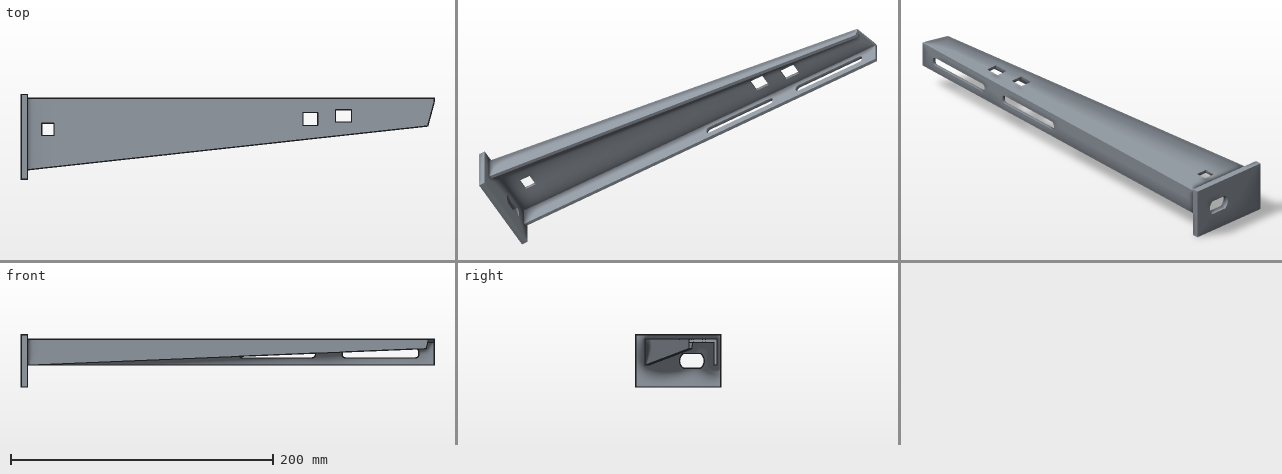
import cadquery as cq

total_length = 315.0
plate_width = 65.0
plate_height = 40.0
plate_thickness = 5.0

plate_hole_y = 10.5
plate_hole_length = 18.5
plate_hole_flat = 13.2
plate_hole_height = 11.0

sheet = 2.5
arm_height = 20.0
arm_top_inset = 3.5
arm_back_inset = 2.8
arm_top = plate_height / 2 - arm_top_inset
arm_bottom = arm_top - arm_height
arm_back = plate_width / 2 - arm_back_inset
arm_root_width = 54.8
arm_tip_width = 21.5
tip_setback = 5.0
tip_front_x = total_length - tip_setback

front_tip_height = 7.2
front_tip_lean = 1.3

slot_length = 58.3
slot_height = 7.0
slot_corner_radius = 2.5
slot_edge_margin = 5.7
slot_bottom = arm_bottom + slot_edge_margin
slot_starts = (166.0, 244.8)

web_holes = (
    (20.5, 24.0, 9.0, 9.0),
    (220.5, 16.0, 11.0, 9.8),
    (245.7, 13.5, 12.0, 9.0),
)


def make_plate():
    plate = cq.Workplane("XY").box(
        plate_thickness, plate_width, plate_height, centered=(False, True, True)
    )
    half_flat = plate_hole_flat / 2
    half_length = plate_hole_length / 2
    half_height = plate_hole_height / 2
    hole = (
        cq.Workplane("YZ")
        .center(plate_hole_y, 0)
        .moveTo(-half_flat, half_height)
        .lineTo(half_flat, half_height)
        .threePointArc((half_length, 0), (half_flat, -half_height))
        .lineTo(-half_flat, -half_height)
        .threePointArc((-half_length, 0), (-half_flat, half_height))
        .close()
        .extrude(plate_thickness)
    )
    return plate.cut(hole)


def plan_prism(points, height):
    """Prism hanging down from the arm's top face."""
    return cq.Workplane("XY", origin=(0, 0, arm_top)).polyline(points).close().extrude(-height)


def make_channel_blank():
    """Web and two full-height flanges, tapered in plan."""
    root_front = arm_back - arm_root_width
    tip_front = arm_back - arm_tip_width
    outer = plan_prism(
        [
            (plate_thickness, arm_back),
            (plate_thickness, root_front),
            (tip_front_x, tip_front),
            (total_length, arm_back - sheet),
            (total_length, arm_back),
        ],
        arm_height,
    )
    taper = (arm_root_width - arm_tip_width) / (tip_front_x - plate_thickness)
    inner_end = total_length + tip_setback
    front_inner = root_front + sheet * (1 + taper**2) ** 0.5
    inner = plan_prism(
        [
            (plate_thickness, arm_back - sheet),
            (plate_thickness, front_inner),
            (inner_end, front_inner + taper * (inner_end - plate_thickness)),
            (inner_end, arm_back - sheet),
        ],
        arm_height,
    ).translate((0, 0, -sheet))
    return outer.cut(inner)


def front_flange_trim():
    """Material below the rising edge and beyond the leaning end of the front flange."""
    trim_depth = arm_back - sheet + plate_width / 2
    return (
        cq.Workplane("XZ", origin=(0, arm_back - sheet, 0))
        .moveTo(plate_thickness, arm_bottom)
        .lineTo(tip_front_x - front_tip_lean, arm_top - front_tip_height)
        .lineTo(tip_front_x, arm_top - sheet)
        .lineTo(total_length, arm_top - sheet)
        .lineTo(total_length, arm_bottom)
        .close()
        .extrude(trim_depth)
    )


def make_arm():
    arm = make_channel_blank().cut(front_flange_trim())
    for x, setback, length, width in web_holes:
        hole = cq.Workplane("XY").box(length, width, sheet, centered=(True, True, False))
        arm = arm.cut(hole.translate((x, arm_back - setback, arm_top - sheet)))
    for start in slot_starts:
        slot = (
            cq.Workplane("XZ", origin=(0, arm_back, 0))
            .center(start + slot_length / 2, slot_bottom + slot_height / 2)
            .rect(slot_length, slot_height)
            .extrude(sheet)
            .edges("|Y")
            .fillet(slot_corner_radius)
        )
        arm = arm.cut(slot)
    return arm


plate = make_plate()
arm = make_arm()
result = cq.Compound.makeCompound([plate.val(), arm.val()])